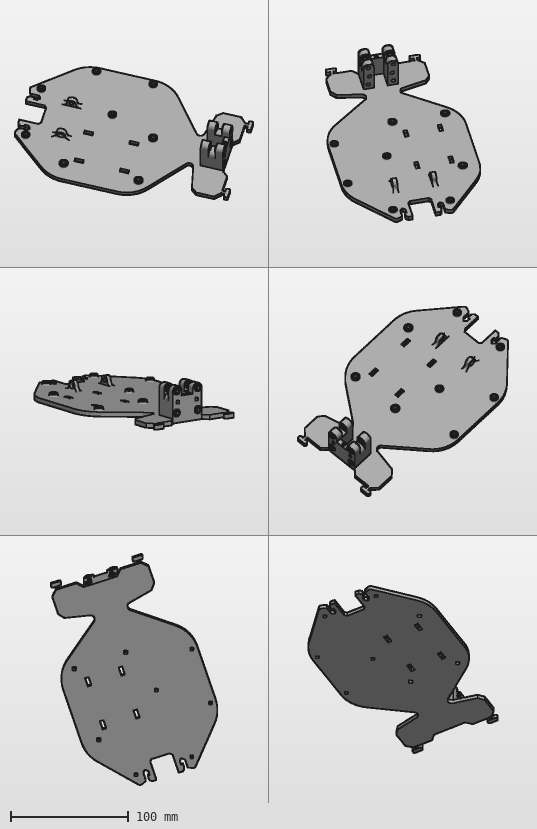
import cadquery as cq
import math

PLATE_T = 4.0
WIDTH = 120.0
HALF_WIDTH = WIDTH / 2
SHOULDER_R = 30.0
LEFT_SHOULDER_X = 39.7
RIGHT_SHOULDER_X = 114.8
NOTCH_DEPTH = 18.6
NOTCH_HALF = 10.0
NOTCH_CHAMFER = 2.0
PRONG_TOP_Y = 15.7
PRONG_CHAMFER = 2.0
LEFT_CORNER = (-0.5, 24.4)
LEFT_CORNER_R = 2.9
NECK_VERTEX = (153.6, 10.2)
NECK_R = 3.6
WING_CORNER = (160.0, 39.0)
WING_SIDE_X = 165.0
WING_HALF_WIDTH = 43.0
WING_TIP_X = 185.7
WING_BACK_Y = 19.8
TAIL_X = 180.7
TAIL_HALF = 15.0
CLIP_Y = 36.5
CLIP_NECK_W = 2.7
CLIP_NECK_BEVEL = 1.2
CLIP_HEAD = (3.6, 9.0)
CLIP_ROUND = 1.2
CLIP_END_X = 192.0

SLOT_TOP_Y = 18.6
SLOT_STEP_X = 6.0
POCKET_W = 4.6
POCKET_END_X = 11.1
POCKET_BEVEL = 2.0

ARC_MID = 1 - math.sqrt(0.5)

WINDOW_SIZE = (7.5, 3.0)
WINDOW_XS = (60.3, 100.2)
WINDOW_YS = (-7.7, -37.6)

BOSS_H = 2.9
BOSS_WALL = PLATE_T / 2
RIM_BEVEL = 1.0
FOOT_R = 1.0
SMALL_HOLE = 2.9
LARGE_HOLE = 3.5
SMALL_BOSSES = [(9.8, 25.0), (9.8, -25.0), (50.0, 55.0), (99.8, 55.0), (75.0, 15.0)]
LARGE_BOSSES = [(49.0, -45.1), (114.8, 0.8), (114.8, -45.1)]

LUG_X = 39.0
LUG_R = 4.0
LUG_INNER_Y = 15.0
LUG_T = 4.0
LUG_HOLE = 3.5
LUG_SINK = 5.8
LUG_SINK_DEPTH = 2.0

TOWER_X = 160.9
COLUMN_W = 9.0
COLUMN_OUTER_Y = 15.0
COLUMN_ROUND = 4.0
TOWER_TOP = 32.0
SADDLE_X = (167.8, 173.8)
SADDLE_Z = 23.2
CROSSBAR_T = 4.6
PIN_Y = COLUMN_OUTER_Y - COLUMN_ROUND
PIN_Z = TOWER_TOP - COLUMN_ROUND
LOW_PIN_Z = 8.8
PIN_HOLE = 3.0
MID_HOLE_Y = 9.8
MID_HOLE_Z = 18.0
PAD_D = 6.7
PAD_H = 1.0
THIN_PAD_H = 0.5
CROSSBAR_HOLE = 2.0
CROSSBAR_SINK = 3.0
CROSSBAR_HOLE_X = 178.0
CROSSBAR_HOLE_DEPTH = 10.0


def box(x, y, z):
    """Box from three (low, high) ranges."""
    size = (x[1] - x[0], y[1] - y[0], z[1] - z[0])
    return cq.Workplane("XY").box(*size, centered=False).translate((x[0], y[0], z[0]))


def both_sides(body):
    """The body together with its mirror image across the XZ plane."""
    return body.union(body.mirror("XZ"))


def round_edge(body, point, radius):
    """Fillet the upright plate edge nearest to an (x, y) point."""
    near = cq.selectors.NearestToPointSelector((*point, PLATE_T / 2))
    return body.edges("|Z").edges(near).fillet(radius)


def half_plate():
    outline = [
        (NOTCH_DEPTH, 0),
        (NOTCH_DEPTH, NOTCH_HALF - NOTCH_CHAMFER),
        (NOTCH_DEPTH - NOTCH_CHAMFER, NOTCH_HALF),
        (0, NOTCH_HALF),
        (0, PRONG_TOP_Y - PRONG_CHAMFER),
        (PRONG_CHAMFER, PRONG_TOP_Y),
        (PRONG_CHAMFER, SLOT_TOP_Y),
        LEFT_CORNER,
        (LEFT_SHOULDER_X, HALF_WIDTH),
        (RIGHT_SHOULDER_X, HALF_WIDTH),
        NECK_VERTEX,
        WING_CORNER,
        (WING_SIDE_X, WING_HALF_WIDTH),
        (TAIL_X, WING_HALF_WIDTH),
        (WING_TIP_X, CLIP_Y + CLIP_NECK_W / 2),
        (WING_TIP_X, WING_BACK_Y),
        (TAIL_X, TAIL_HALF),
        (TAIL_X, 0),
    ]
    plate = cq.Workplane("XY").polyline(outline).close().extrude(PLATE_T)
    for corner, radius in (
        (LEFT_CORNER, LEFT_CORNER_R),
        ((LEFT_SHOULDER_X, HALF_WIDTH), SHOULDER_R),
        ((RIGHT_SHOULDER_X, HALF_WIDTH), SHOULDER_R),
        (NECK_VERTEX, NECK_R),
    ):
        plate = round_edge(plate, corner, radius)
    return plate.cut(side_slot()).union(clip())


def side_slot():
    depth = (0, PLATE_T)
    channel = box((0, SLOT_STEP_X), (PRONG_TOP_Y, SLOT_TOP_Y), depth)
    pocket = box((SLOT_STEP_X, POCKET_END_X), (SLOT_TOP_Y - POCKET_W, SLOT_TOP_Y), depth)
    return channel.union(pocket.edges("|Z and >X").chamfer(POCKET_BEVEL))


def clip():
    """T-shaped clip on the wing tip."""
    length, width = CLIP_HEAD
    neck_y = (CLIP_Y - CLIP_NECK_W / 2, CLIP_Y + CLIP_NECK_W / 2)
    neck = box((WING_TIP_X, CLIP_END_X - length / 2), neck_y, (0, PLATE_T))
    neck = neck.edges("|X and <Z").chamfer(CLIP_NECK_BEVEL)
    head = box((CLIP_END_X - length, CLIP_END_X), (CLIP_Y - width / 2, CLIP_Y + width / 2), (0, PLATE_T))
    return head.edges("|Z").fillet(CLIP_ROUND).union(neck)


def boss(hole):
    """Turned boss on the plate top with a flared foot and a bevelled rim."""
    radius = hole / 2 + BOSS_WALL
    foot_mid = FOOT_R * ARC_MID
    return (
        cq.Workplane("XZ")
        .moveTo(0, 0)
        .lineTo(radius + FOOT_R, 0)
        .threePointArc((radius + foot_mid, foot_mid), (radius, FOOT_R))
        .lineTo(radius, BOSS_H - RIM_BEVEL)
        .lineTo(radius - RIM_BEVEL, BOSS_H)
        .lineTo(0, BOSS_H)
        .close()
        .revolve(360, (0, 0, 0), (0, 1, 0))
        .translate((0, 0, PLATE_T))
    )


def add_bosses(body):
    for hole, places in ((SMALL_HOLE, SMALL_BOSSES), (LARGE_HOLE, LARGE_BOSSES)):
        for x, y in places:
            body = body.union(boss(hole).translate((x, y, 0)))
            body = body.cut(cq.Workplane("XY").center(x, y).circle(hole / 2).extrude(PLATE_T + BOSS_H))
    return body


def lug():
    """Axle lug with flared ends, an outer foot fillet and a hole countersunk from outside."""
    outer_y = LUG_INNER_Y + LUG_T
    axle_z = PLATE_T + LUG_R
    flare_mid = LUG_R * ARC_MID
    foot_mid = FOOT_R * ARC_MID
    foot_half = 2 * LUG_R
    profile = (
        cq.Workplane("XZ", origin=(LUG_X, outer_y + FOOT_R, PLATE_T))
        .moveTo(-foot_half, 0)
        .threePointArc((-LUG_R - flare_mid, flare_mid), (-LUG_R, LUG_R))
        .threePointArc((0, 2 * LUG_R), (LUG_R, LUG_R))
        .threePointArc((LUG_R + flare_mid, flare_mid), (foot_half, 0))
        .close()
        .extrude(LUG_T + FOOT_R)
    )
    foot_x = (LUG_X - foot_half, LUG_X + foot_half)
    beyond = box(foot_x, (outer_y, outer_y + FOOT_R), (PLATE_T, axle_z + LUG_R))
    fillet = (
        cq.Workplane("YZ", origin=(foot_x[0], outer_y, PLATE_T))
        .lineTo(FOOT_R, 0)
        .threePointArc((foot_mid, foot_mid), (0, FOOT_R))
        .close()
        .extrude(2 * foot_half)
    )
    face_center = cq.Vector(LUG_X, outer_y, axle_z)
    inward = cq.Vector(0, -1, 0)
    hole = cq.Solid.makeCylinder(LUG_HOLE / 2, LUG_T, face_center, inward)
    sink = cq.Solid.makeCone(LUG_SINK / 2, LUG_HOLE / 2, LUG_SINK_DEPTH, face_center, inward)
    body = profile.cut(beyond.cut(fillet))
    return body.cut(cq.Workplane(hole)).cut(cq.Workplane(sink))


def pad(x, z, direction, height):
    """Washer pad around a pin hole: a cone with 45 degree sides."""
    base = cq.Vector(x, PIN_Y, z)
    axis = cq.Vector(direction, 0, 0)
    return cq.Workplane(cq.Solid.makeCone(PAD_D / 2, PAD_D / 2 - height, height, base, axis))


def column():
    inner_y = COLUMN_OUTER_Y - COLUMN_W
    tower = (TOWER_X, TAIL_X)
    width = (inner_y, COLUMN_OUTER_Y)
    body = box(tower, width, (PLATE_T, TOWER_TOP)).edges("|X and >Z").fillet(COLUMN_ROUND)
    saddle = box(SADDLE_X, width, (PLATE_T, TOWER_TOP))
    floor = box(SADDLE_X, width, (PLATE_T, SADDLE_Z)).edges("|X and >Z and >Y").fillet(COLUMN_ROUND)
    body = body.cut(saddle).union(floor)
    for pad_place in (
        (TAIL_X, PIN_Z, 1, PAD_H),
        (TAIL_X, LOW_PIN_Z, 1, PAD_H),
        (SADDLE_X[0], PIN_Z, 1, PAD_H),
        (SADDLE_X[1], PIN_Z, -1, THIN_PAD_H),
    ):
        body = body.union(pad(*pad_place))
    holes = (
        cq.Workplane("YZ", origin=(TOWER_X, 0, 0))
        .pushPoints([(PIN_Y, PIN_Z), (PIN_Y, LOW_PIN_Z), (MID_HOLE_Y, MID_HOLE_Z)])
        .circle(PIN_HOLE / 2)
        .extrude(TAIL_X - TOWER_X + PAD_H)
    )
    return body.cut(holes)


def crossbar():
    half = COLUMN_OUTER_Y - COLUMN_W
    bar = box((TAIL_X - CROSSBAR_T, TAIL_X), (-half, half), (PLATE_T, SADDLE_Z))
    top = cq.Workplane("XY", origin=(CROSSBAR_HOLE_X, 0, SADDLE_Z))
    hole = top.circle(CROSSBAR_HOLE / 2).extrude(-CROSSBAR_HOLE_DEPTH)
    sink_depth = (CROSSBAR_SINK - CROSSBAR_HOLE) / 2
    sink = cq.Solid.makeCone(
        CROSSBAR_SINK / 2, CROSSBAR_HOLE / 2, sink_depth,
        cq.Vector(CROSSBAR_HOLE_X, 0, SADDLE_Z), cq.Vector(0, 0, -1),
    )
    return bar.cut(hole).cut(cq.Workplane(sink))


windows = (
    cq.Workplane("XY")
    .pushPoints([(x, y) for x in WINDOW_XS for y in WINDOW_YS])
    .rect(*WINDOW_SIZE)
    .extrude(PLATE_T)
)
plate = both_sides(half_plate()).cut(windows)
result = add_bosses(plate)
result = result.union(both_sides(lug()))
result = result.union(both_sides(column())).union(crossbar())